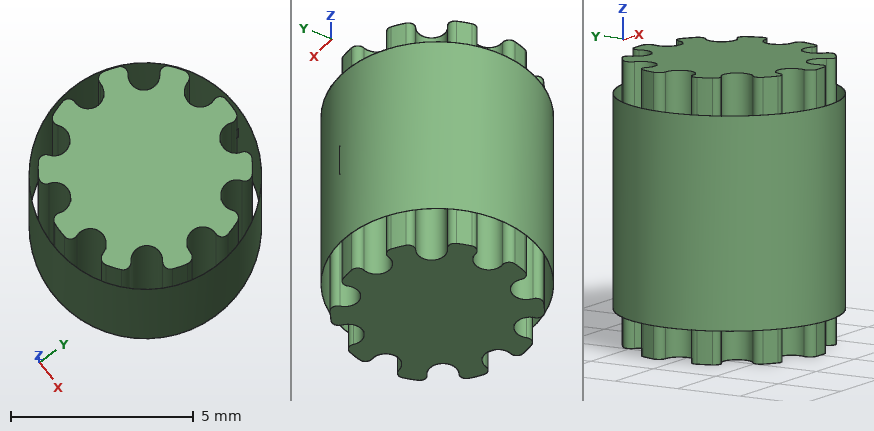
import cadquery as cq
import math

TOOTH_COUNT = 10
BELT_PITCH = 2.0
PITCH_LINE_OFFSET = 0.254
GROOVE_DEPTH = 0.75
GROOVE_RADIUS = 0.435
TIP_FILLET_RADIUS = 0.21
GEAR_LENGTH = 8.0

SLEEVE_LENGTH = 6.0
SLEEVE_WALL = 0.005

RIB_THICKNESS = 0.005
RIB_HEIGHT = 1.0
RIB_OVERLAP = 0.002

PITCH_RADIUS = TOOTH_COUNT * BELT_PITCH / (2 * math.pi)
TIP_RADIUS = PITCH_RADIUS - PITCH_LINE_OFFSET
ROOT_RADIUS = TIP_RADIUS - GROOVE_DEPTH
TOOTH_ANGLE = 2 * math.pi / TOOTH_COUNT
SLEEVE_BOTTOM = (GEAR_LENGTH - SLEEVE_LENGTH) / 2
WALL_MIDDLE_RADIUS = PITCH_RADIUS - SLEEVE_WALL / 2


def polar(radius, angle):
    """X and Y of a point given by its radius and angle."""
    return (radius * math.cos(angle), radius * math.sin(angle))


def gear_outline():
    """Closed outline with a groove centred on +X and a tooth centred on +Y."""
    groove_centre = ROOT_RADIUS + GROOVE_RADIUS
    fillet_centre = TIP_RADIUS - TIP_FILLET_RADIUS
    centre_distance = GROOVE_RADIUS + TIP_FILLET_RADIUS
    fillet_x = (fillet_centre**2 + groove_centre**2 - centre_distance**2) / (2 * groove_centre)
    land_start = math.acos(fillet_x / fillet_centre)
    fillet_y = fillet_centre * math.sin(land_start)

    share = GROOVE_RADIUS / centre_distance
    meet_x = groove_centre + share * (fillet_x - groove_centre)
    meet_y = share * fillet_y
    meet_radius = math.hypot(meet_x, meet_y)
    meet_angle = math.atan2(meet_y, meet_x)

    direction_to_groove = math.atan2(-fillet_y, groove_centre - fillet_x)
    fillet_middle_direction = (direction_to_groove + land_start) / 2
    bulge_x, bulge_y = polar(TIP_FILLET_RADIUS, fillet_middle_direction)
    bulge_x += fillet_x
    bulge_y += fillet_y
    bulge_radius = math.hypot(bulge_x, bulge_y)
    bulge_angle = math.atan2(bulge_y, bulge_x)

    outline = cq.Workplane("XY").moveTo(*polar(meet_radius, -meet_angle))
    for tooth in range(TOOTH_COUNT):
        groove = tooth * TOOTH_ANGLE
        next_groove = groove + TOOTH_ANGLE
        outline = (
            outline
            .threePointArc(polar(ROOT_RADIUS, groove), polar(meet_radius, groove + meet_angle))
            .threePointArc(polar(bulge_radius, groove + bulge_angle), polar(TIP_RADIUS, groove + land_start))
            .threePointArc(
                polar(TIP_RADIUS, groove + TOOTH_ANGLE / 2),
                polar(TIP_RADIUS, next_groove - land_start),
            )
            .threePointArc(
                polar(bulge_radius, next_groove - bulge_angle),
                polar(meet_radius, next_groove - meet_angle),
            )
        )
    return outline.close()


def make_gear():
    return gear_outline().extrude(GEAR_LENGTH)


def make_sleeve():
    return (
        cq.Workplane("XY")
        .workplane(offset=SLEEVE_BOTTOM)
        .circle(PITCH_RADIUS)
        .circle(PITCH_RADIUS - SLEEVE_WALL)
        .extrude(SLEEVE_LENGTH)
    )


def make_rib():
    inner_end = TIP_RADIUS - RIB_OVERLAP
    rib_length = WALL_MIDDLE_RADIUS - inner_end
    rib_centre = (0, inner_end + rib_length / 2, GEAR_LENGTH / 2)
    return cq.Workplane("XY").box(RIB_THICKNESS, rib_length, RIB_HEIGHT).translate(rib_centre)


result = make_gear().union(make_rib()).union(make_sleeve())